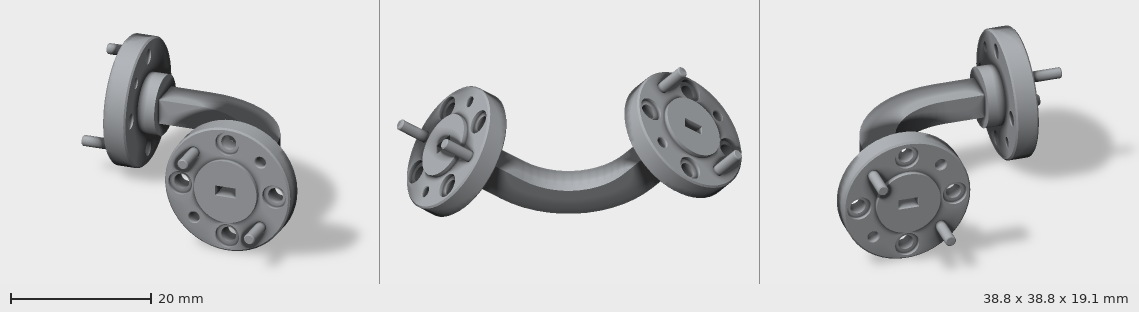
import cadquery as cq
import math

face_distance = 25.4
bend_radius = 12.7

tube_width = 5.13
tube_height = 3.68
bore_width = 3.1
bore_height = 1.55

boss_diameter = 9.525
boss_height = 0.76
flange_diameter = 19.05
flange_thickness = 3.4
flange_chamfer = 0.25
hub_diameter = 8.89
hub_length = 2.54
connector_length = boss_height + flange_thickness + hub_length

bolt_circle_radius = 14.288 / 2
screw_hole_diameter = 2.26
counterbore_diameter = 3.6
counterbore_depth = 0.635
screw_angles = [0, 90, 180, 270]
dowel_diameter = 1.5875
dowel_hole_chamfer = 0.13
countersink_taper = 45
pin_angles = [135, 315]
empty_dowel_angles = [45, 225]

pin_protrusion = 3.875
pin_chamfer = 0.15

mating_planes = [
    cq.Plane(origin=(-face_distance, 0, 0), xDir=(0, -1, 0), normal=(-1, 0, 0)),
    cq.Plane(origin=(0, -face_distance, 0), xDir=(1, 0, 0), normal=(0, -1, 0)),
]


def bolt_circle_points(angles):
    return [
        (
            bolt_circle_radius * math.cos(math.radians(angle)),
            bolt_circle_radius * math.sin(math.radians(angle)),
        )
        for angle in angles
    ]


def make_tube():
    """Solid bar following the bend from hub to hub."""
    half_width = tube_width / 2
    end = face_distance - connector_length
    arc_middle = math.sqrt(0.5)
    outer_radius = bend_radius + half_width
    inner_radius = bend_radius - half_width

    def on_bend(radius):
        return (-bend_radius + radius * arc_middle, -bend_radius + radius * arc_middle)

    return (
        cq.Workplane("XY")
        .workplane(offset=-tube_height / 2)
        .moveTo(-end, half_width)
        .lineTo(-bend_radius, half_width)
        .threePointArc(on_bend(outer_radius), (half_width, -bend_radius))
        .lineTo(half_width, -end)
        .lineTo(-half_width, -end)
        .lineTo(-half_width, -bend_radius)
        .threePointArc(on_bend(inner_radius), (-bend_radius, -half_width))
        .lineTo(-end, -half_width)
        .close()
        .extrude(tube_height)
    )


def make_connector(plane):
    """Flange disc with its raised mating boss, rear hub and holes."""
    mating_face = cq.Workplane(plane)
    flange_face = mating_face.workplane(offset=-boss_height)

    disc = (
        flange_face.circle(flange_diameter / 2)
        .extrude(-flange_thickness)
        .edges()
        .chamfer(flange_chamfer)
    )
    boss = mating_face.circle(boss_diameter / 2).extrude(-boss_height)
    hub = (
        flange_face.workplane(offset=-flange_thickness)
        .circle(hub_diameter / 2)
        .extrude(-hub_length)
    )

    screw_points = bolt_circle_points(screw_angles)
    screw_holes = (
        flange_face.pushPoints(screw_points)
        .circle(screw_hole_diameter / 2)
        .extrude(-flange_thickness)
    )
    counterbores = (
        flange_face.pushPoints(screw_points)
        .circle(counterbore_diameter / 2)
        .extrude(-counterbore_depth)
    )

    dowel_points = bolt_circle_points(pin_angles + empty_dowel_angles)
    dowel_holes = (
        flange_face.pushPoints(dowel_points)
        .circle(dowel_diameter / 2)
        .extrude(-flange_thickness)
    )
    countersinks = (
        flange_face.pushPoints(dowel_points)
        .circle(dowel_diameter / 2 + dowel_hole_chamfer)
        .extrude(-dowel_hole_chamfer, taper=countersink_taper)
    )

    return (
        disc.union(boss)
        .union(hub)
        .cut(screw_holes)
        .cut(counterbores)
        .cut(dowel_holes)
        .cut(countersinks)
    )


def make_bore(plane):
    """Blind waveguide opening, as deep as the connector."""
    return cq.Workplane(plane).rect(bore_width, bore_height).extrude(-connector_length)


def make_pin(plane, point):
    """Dowel pin filling its hole, chamfered at the outer end."""
    pin_length = pin_protrusion + boss_height + flange_thickness
    return (
        cq.Workplane(plane)
        .workplane(offset=pin_protrusion)
        .center(*point)
        .circle(dowel_diameter / 2)
        .extrude(-pin_length)
        .edges(cq.selectors.DirectionMinMaxSelector(plane.zDir, True))
        .chamfer(pin_chamfer)
    )


waveguide = make_tube()
for plane in mating_planes:
    waveguide = waveguide.union(make_connector(plane)).cut(make_bore(plane))

pins = [
    make_pin(plane, point)
    for plane in mating_planes
    for point in bolt_circle_points(pin_angles)
]

result = cq.Compound.makeCompound([waveguide.val(), *[pin.val() for pin in pins]])